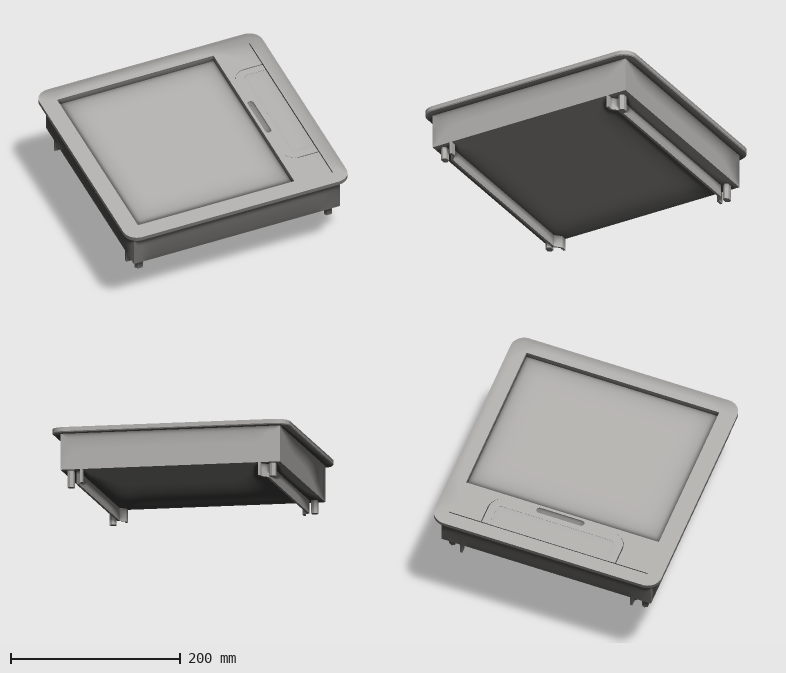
import cadquery as cq
import math


flange_side = 286.0
flange_radius = 17.2
flange_thickness = 6.0
flange_chamfer = 1.1
box_side = 264.2
box_bottom = -49.2

tray_width = 250.5
opening_length = 252.2
tray_thickness = 13.0
back_gap = 1.1

rim = 3.7
recess_back = 78.0
recess_depth = 8.3
recess_fillet = 1.1

seat_half_width = 85.2
seat_front = 85.2
seat_radius = 17.2
flap_gap = 1.1
flap_thickness = 5.7
flap_border = 10.5
panel_depth = 0.3

groove_length = 60.0
groove_radius = 3.7

foot_x = 121.5
foot_y = 121.3
foot_half_width = 3.7
foot_half_length = 5.5
foot_half_flat = 3.1
long_foot_bottom = -69.2
short_foot_bottom = -64.5

rail_bottom = short_foot_bottom
rail_thickness = 3.0
rail_end_x = 108.7
rail_middle_x = 115.8
joggle_start_y = 124.7
joggle_end_y = 117.2

tray_half_width = tray_width / 2
tray_front = -opening_length / 2
tray_back = opening_length / 2 - back_gap
box_half = box_side / 2


def block(x_min, x_max, y_min, y_max, z_min, z_max):
    """Box between the given limits."""
    return cq.Workplane("XY").box(
        x_max - x_min, y_max - y_min, z_max - z_min, centered=False
    ).translate((x_min, y_min, z_min))


def tongue(half_width, front, radius, back, depth):
    """Block below z = 0 with rounded front corners and a straight back edge."""
    body = block(-half_width, half_width, front, back, -depth, 0)
    return body.edges("|Z and <Y").fillet(radius)


def finger_groove():
    """Round-ended trough cutter lying along X on the front edge of the flap seat."""
    half_length = groove_length / 2
    half_straight = half_length - groove_radius
    arc_reach = groove_radius * math.sqrt(0.5)
    half_outline = (
        cq.Workplane("XY")
        .moveTo(-half_length, 0)
        .threePointArc((-half_straight - arc_reach, arc_reach), (-half_straight, groove_radius))
        .lineTo(half_straight, groove_radius)
        .threePointArc((half_straight + arc_reach, arc_reach), (half_length, 0))
        .close()
    )
    return half_outline.revolve(360, (0, 0, 0), (1, 0, 0)).translate((0, seat_front, 0))


def foot(side, end, bottom):
    """Hexagonal post hanging from the housing box at one corner."""
    outline = [
        (0, foot_half_length),
        (foot_half_width, foot_half_flat),
        (foot_half_width, -foot_half_flat),
        (0, -foot_half_length),
        (-foot_half_width, -foot_half_flat),
        (-foot_half_width, foot_half_flat),
    ]
    base = cq.Workplane("XY", origin=(side * foot_x, end * foot_y, box_bottom))
    return base.polyline(outline).close().extrude(bottom - box_bottom)


def rail(side):
    """Thin upright strip along one side, set in at both ends."""
    outer = [
        (rail_end_x, -box_half),
        (rail_end_x, -joggle_start_y),
        (rail_middle_x, -joggle_end_y),
        (rail_middle_x, joggle_end_y),
        (rail_end_x, joggle_start_y),
        (rail_end_x, box_half),
    ]
    inner = [(x - rail_thickness, y) for x, y in reversed(outer)]
    outline = [(side * x, y) for x, y in outer + inner]
    base = cq.Workplane("XY", origin=(0, 0, box_bottom))
    return base.polyline(outline).close().extrude(rail_bottom - box_bottom)


def make_housing():
    """Flange and box in one piece, with the tray opening, rails and feet."""
    flange = block(
        -flange_side / 2, flange_side / 2, -flange_side / 2, flange_side / 2, -flange_thickness, 0
    )
    flange = flange.edges("|Z").fillet(flange_radius)
    flange = flange.faces("<Z").edges().chamfer(flange_chamfer)
    box = block(-box_half, box_half, -box_half, box_half, box_bottom, -flange_thickness)
    opening = block(
        -tray_half_width, tray_half_width, tray_front, opening_length / 2, -tray_thickness, 0
    )
    body = flange.union(box).cut(opening)
    for side, foot_bottom in ((-1, long_foot_bottom), (1, short_foot_bottom)):
        body = body.union(rail(side))
        for end in (-1, 1):
            body = body.union(foot(side, end, foot_bottom))
    return body


def make_tray():
    """Insert tray with the large recess, the flap seat and half of the finger groove."""
    body = block(
        -tray_half_width, tray_half_width, tray_front, tray_back, -tray_thickness, 0
    )
    recess_half_width = tray_half_width - rim
    recess = block(
        -recess_half_width, recess_half_width, tray_front + rim, recess_back, -recess_depth, 0
    )
    recess = recess.edges("<Z and >Y").fillet(recess_fillet)
    seat = tongue(seat_half_width, seat_front, seat_radius, tray_back, flap_thickness)
    return body.cut(recess).cut(seat).cut(finger_groove())


def make_flap():
    """Cable flap with a sunken panel and the other half of the finger groove."""
    body = tongue(
        seat_half_width - flap_gap, seat_front, seat_radius - flap_gap, tray_back, flap_thickness
    )
    panel = tongue(
        seat_half_width - flap_border,
        seat_front + flap_border,
        seat_radius - flap_border,
        tray_back,
        panel_depth,
    )
    return body.cut(panel).cut(finger_groove())


housing = make_housing()
tray = make_tray()
flap = make_flap()

result = cq.Compound.makeCompound([housing.val(), tray.val(), flap.val()])